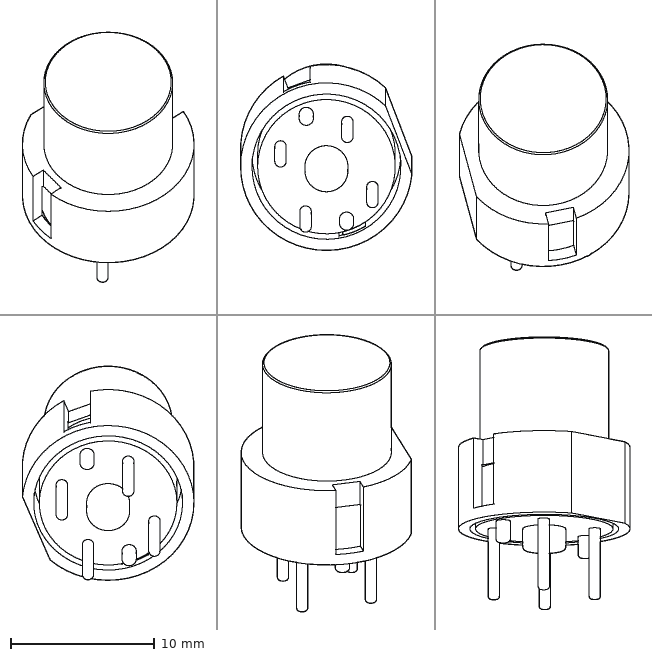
import cadquery as cq

total_height = 17.8
pin_length = 5.0
post_length = 1.5
housing_height = 5.8
housing_bottom = pin_length
housing_top = housing_bottom + housing_height

housing_radius = 6.0
flat_distance = 5.4
cup_inner_radius = 5.2
roof_thickness = 1.8
roof_bottom = housing_top - roof_thickness

notch_width = 2.0
notch_back_distance = 5.0
notch_sill_height = 0.8

core_radius = 4.8

plunger_radius = 4.5
plunger_edge_chamfer = 0.1

pin_diameter = 0.8
pin_offset = 2.5
center_post_diameter = 3.0
side_post_diameter = 1.0
side_post_offset = plunger_radius - side_post_diameter / 2
tip_fillet = 0.21


def make_cylinder(radius, bottom, top):
    return cq.Workplane("XY").workplane(offset=bottom).circle(radius).extrude(top - bottom)


def make_peg(diameter, length, x, y):
    """Round-tipped peg hanging from the housing underside."""
    peg = make_cylinder(diameter / 2, housing_bottom - length, housing_bottom)
    return peg.faces("<Z").edges().fillet(tip_fillet).translate((x, y, 0))


def make_notch_cutter(side):
    """Block that opens the wall from the sill up through the roof."""
    depth = housing_radius - notch_back_distance
    height = housing_height - notch_sill_height
    cutter = cq.Workplane("XY").box(notch_width, depth, height, centered=(True, True, False))
    center_y = side * (notch_back_distance + depth / 2)
    return cutter.translate((0, center_y, housing_bottom + notch_sill_height))


def make_housing():
    housing = make_cylinder(housing_radius, housing_bottom, housing_top)
    flat_limit = cq.Workplane("XY").box(
        flat_distance + housing_radius, 2 * housing_radius, total_height, centered=(False, True, False)
    )
    housing = housing.intersect(flat_limit.translate((-flat_distance, 0, 0)))
    housing = housing.cut(make_cylinder(cup_inner_radius, housing_bottom, roof_bottom))
    for side in (-1, 1):
        housing = housing.cut(make_notch_cutter(side))
    return housing.union(make_cylinder(core_radius, housing_bottom, roof_bottom))


def make_plunger():
    plunger = make_cylinder(plunger_radius, housing_top, total_height)
    return plunger.faces(">Z").edges().chamfer(plunger_edge_chamfer)


body = make_housing().union(make_plunger())

for pin_x in (-pin_offset, pin_offset):
    for pin_y in (-pin_offset, pin_offset):
        body = body.union(make_peg(pin_diameter, pin_length, pin_x, pin_y))

body = body.union(make_peg(center_post_diameter, post_length, 0, 0))
for post_y in (-side_post_offset, side_post_offset):
    body = body.union(make_peg(side_post_diameter, post_length, 0, post_y))

result = body